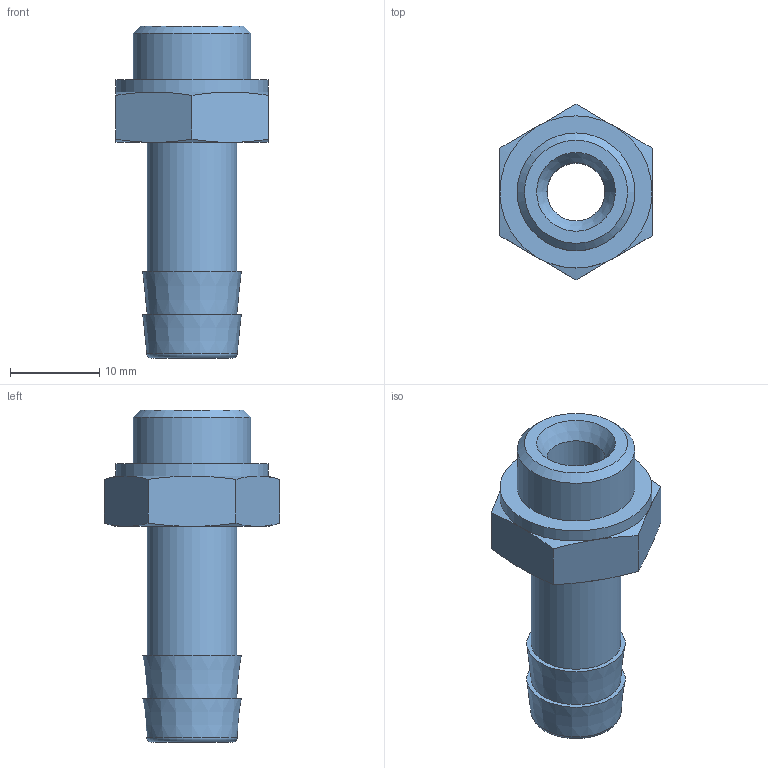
import cadquery as cq
import math

total_height = 37.1
bore_diameter = 6.5

spigot_diameter = 13.16
spigot_height = 6.0
spigot_chamfer = 0.82
seat_diameter = 8.8
seat_included_angle = 60.0

hex_sides = 6
across_flats = 17.0
collar_diameter = across_flats
collar_height = 1.4
hex_height = 5.6
hex_chamfer_angle = 15.0

tail_diameter = 10.0
barb_diameter = 11.0
barb_count = 2
barb_pitch = 4.85
tip_fillet = 0.5

collar_top = total_height - spigot_height
hex_top = collar_top - collar_height
hex_bottom = hex_top - hex_height


def cylinder(diameter, bottom, top):
    """Upright cylinder between two levels."""
    return cq.Workplane("XY").workplane(offset=bottom).circle(diameter / 2).extrude(top - bottom)


def revolved(profile):
    """Solid of revolution about Z from (radius, level) points."""
    return cq.Workplane("XZ").polyline(profile).close().revolve(360, (0, 0, 0), (0, 1, 0))


def barb(bottom):
    """Tapered ring that widens upward to a sharp shoulder."""
    top = bottom + barb_pitch
    return revolved([(0, bottom), (tail_diameter / 2, bottom), (barb_diameter / 2, top), (0, top)])


def hexagon():
    """Hexagon with corners along Y, cut by a shallow cone at both ends."""
    across_corners = across_flats / math.cos(math.pi / hex_sides)
    flat_radius = across_flats / 2
    corner_radius = across_corners / 2
    drop = (corner_radius - flat_radius) * math.tan(math.radians(hex_chamfer_angle))
    prism = (
        cq.Workplane("XY")
        .workplane(offset=hex_bottom)
        .transformed(rotate=(0, 0, 90))
        .polygon(hex_sides, across_corners)
        .extrude(hex_height)
    )
    envelope = revolved([
        (0, hex_bottom),
        (flat_radius, hex_bottom),
        (corner_radius, hex_bottom + drop),
        (corner_radius, hex_top - drop),
        (flat_radius, hex_top),
        (0, hex_top),
    ])
    return prism.intersect(envelope)


def hose_tail():
    """Plain tail with stacked barbs and a rounded tip."""
    tail = cylinder(tail_diameter, 0, hex_bottom)
    for index in range(barb_count):
        tail = tail.union(barb(index * barb_pitch))
    return tail.faces("<Z").edges().fillet(tip_fillet)


def spigot():
    """Upper cylinder with a chamfered rim."""
    return cylinder(spigot_diameter, collar_top, total_height).faces(">Z").edges().chamfer(spigot_chamfer)


def seat():
    """Conical seat that narrows from the upper face down to the bore."""
    mouth_radius = seat_diameter / 2
    bore_radius = bore_diameter / 2
    depth = (mouth_radius - bore_radius) / math.tan(math.radians(seat_included_angle / 2))
    floor = total_height - depth
    return revolved([(0, floor), (bore_radius, floor), (mouth_radius, total_height), (0, total_height)])


body = hose_tail().union(hexagon()).union(cylinder(collar_diameter, hex_top, collar_top)).union(spigot())
result = body.cut(cylinder(bore_diameter, 0, total_height)).cut(seat())